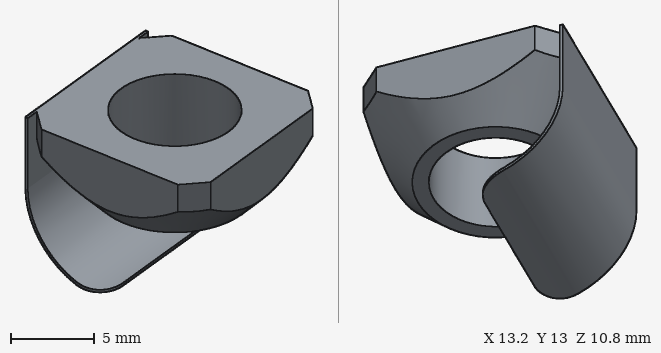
import cadquery as cq
import math

block_side = 13.0
block_height = 5.5
corner_chamfer = 1.4
bore_diameter = 8.0

seat_bottom_radius = 5.0
seat_angle = 47.5

strip_thickness = 0.2
strip_width = 12.0
strip_flat_length = 5.0
bend_outer_radius = 5.8
tip_corner_radius = 2.0


def make_block():
    block = (
        cq.Workplane("XY")
        .workplane(offset=-block_height)
        .rect(block_side, block_side)
        .extrude(block_height)
        .edges("|Z")
        .chamfer(corner_chamfer)
    )
    seat_top_radius = seat_bottom_radius + block_height / math.tan(math.radians(seat_angle))
    seat = (
        cq.Workplane("XZ")
        .moveTo(0, -block_height)
        .lineTo(seat_bottom_radius, -block_height)
        .lineTo(seat_top_radius, 0)
        .lineTo(0, 0)
        .close()
        .revolve(360, (0, 0, 0), (0, 1, 0))
    )
    bore = cq.Workplane("XY").circle(bore_diameter / 2).extrude(-block_height)
    return block.intersect(seat).cut(bore)


def make_strip():
    inner_x = -block_side / 2
    outer_x = inner_x - strip_thickness
    bend_inner_radius = bend_outer_radius - strip_thickness
    bend_x = outer_x + bend_outer_radius
    bend_z = -strip_flat_length
    diagonal = math.sqrt(0.5)
    strip = (
        cq.Workplane("XZ")
        .moveTo(outer_x, 0)
        .lineTo(outer_x, bend_z)
        .threePointArc(
            (bend_x - bend_outer_radius * diagonal, bend_z - bend_outer_radius * diagonal),
            (bend_x, bend_z - bend_outer_radius),
        )
        .lineTo(bend_x, bend_z - bend_inner_radius)
        .threePointArc(
            (bend_x - bend_inner_radius * diagonal, bend_z - bend_inner_radius * diagonal),
            (inner_x, bend_z),
        )
        .lineTo(inner_x, 0)
        .close()
        .extrude(strip_width / 2, both=True)
    )
    outline = (
        cq.Workplane("XY")
        .center((outer_x + bend_x) / 2, 0)
        .rect(bend_outer_radius, strip_width)
        .extrude(-(strip_flat_length + bend_outer_radius))
        .edges("|Z and >X")
        .fillet(tip_corner_radius)
    )
    return strip.intersect(outline)


result = make_block().union(make_strip())